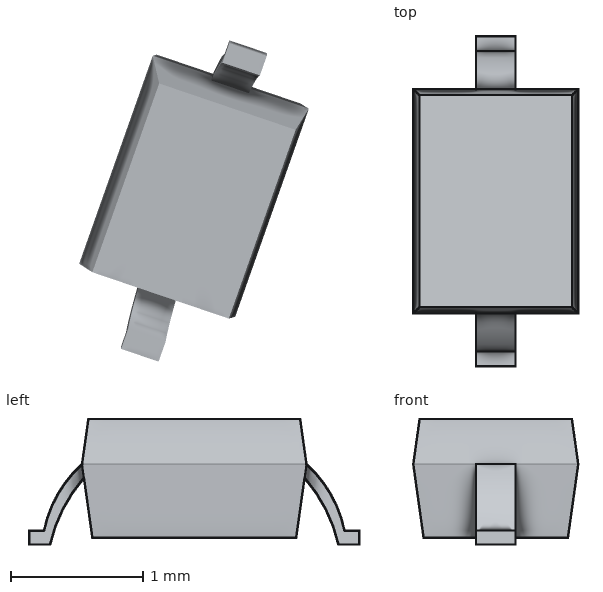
import cadquery as cq
import math

body_width = 1.25
body_length = 1.7
body_bottom_z = 0.05
body_top_z = 0.95
parting_z = 0.608
draft_angle = 8.0

lead_span = 2.5
lead_width = 0.3
lead_thickness = 0.105
foot_top_length = 0.112
foot_bottom_length = 0.16
outer_bend_y = 1.035
outer_bend_z = 0.378
inner_bend_y = 0.942
inner_bend_z = 0.358


def housing_half(end_z):
    """Frustum from the parting plane to end_z, narrowing by the draft angle."""
    height = abs(end_z - parting_z)
    inset = height * math.tan(math.radians(draft_angle))
    return (
        cq.Workplane("XY", origin=(0, 0, parting_z))
        .rect(body_width, body_length)
        .workplane(offset=end_z - parting_z)
        .rect(body_width - 2 * inset, body_length - 2 * inset)
        .loft(ruled=True)
    )


def make_lead_strip():
    """Flat inside the housing, curving down to a flat foot at each end."""
    half_span = lead_span / 2
    exit_top_y = body_length / 2
    strip_bottom_z = parting_z - lead_thickness
    exit_bottom_y = exit_top_y - lead_thickness * math.tan(math.radians(draft_angle))
    foot_top_y = half_span - foot_top_length
    foot_bottom_y = half_span - foot_bottom_length
    return (
        cq.Workplane("YZ", origin=(-lead_width / 2, 0, 0))
        .moveTo(-exit_top_y, parting_z)
        .lineTo(exit_top_y, parting_z)
        .threePointArc((outer_bend_y, outer_bend_z), (foot_top_y, lead_thickness))
        .lineTo(half_span, lead_thickness)
        .lineTo(half_span, 0)
        .lineTo(foot_bottom_y, 0)
        .threePointArc((inner_bend_y, inner_bend_z), (exit_bottom_y, strip_bottom_z))
        .lineTo(-exit_bottom_y, strip_bottom_z)
        .threePointArc((-inner_bend_y, inner_bend_z), (-foot_bottom_y, 0))
        .lineTo(-half_span, 0)
        .lineTo(-half_span, lead_thickness)
        .lineTo(-foot_top_y, lead_thickness)
        .threePointArc((-outer_bend_y, outer_bend_z), (-exit_top_y, parting_z))
        .close()
        .extrude(lead_width)
    )


lead_strip = make_lead_strip()

housing = housing_half(body_top_z).union(housing_half(body_bottom_z)).cut(lead_strip).solids()

result = cq.Compound.makeCompound([housing.val(), lead_strip.val()])